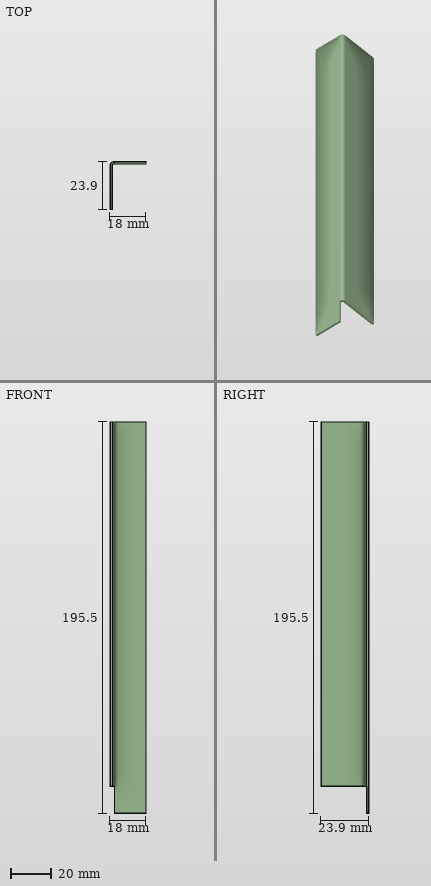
import cadquery as cq

width = 18.0
depth = 23.9
height = 195.5

thickness = 1.2
inner_radius = 0.5
outer_radius = inner_radius + thickness

tab_length = 13.5
tab_inset = 2.2


def angle_section():
    """Solid L-section with its outer corner at X = 0, Y = depth."""
    sheet = (
        cq.Workplane("XY")
        .box(width, depth, height, centered=False)
        .edges("|Z and <X and >Y")
        .fillet(outer_radius)
    )
    inside = (
        cq.Workplane("XY")
        .box(width, depth, height, centered=False)
        .translate((thickness, -thickness, 0))
        .edges("|Z and <X and >Y")
        .fillet(inner_radius)
    )
    return sheet.cut(inside)


def corner_notch():
    """Clears the side flange and the bend beside the tab."""
    return cq.Workplane("XY").box(tab_inset, depth, tab_length, centered=False)


result = angle_section().cut(corner_notch())